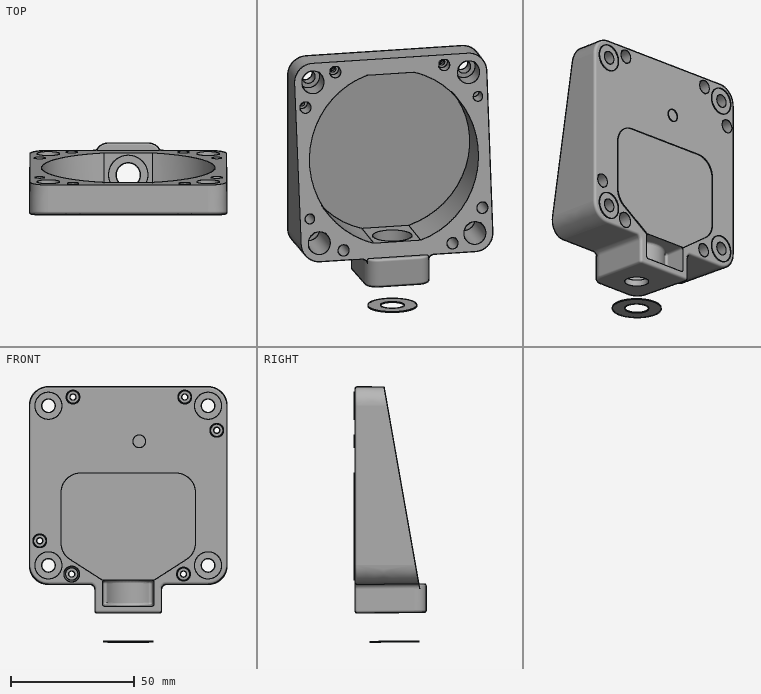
import cadquery as cq
import math


overall_height = 103.9
plate_side = 80.4
plate_half = plate_side / 2
plate_corner_radius = 7.8
plate_top_depth = 11.8
back_slope = 10.0
draft_angle = 0.6
front_edge_fillet = 1.0

tongue_width = 27.2
tongue_half = tongue_width / 2
tongue_top = -39.9
tongue_bottom = -51.9
tongue_depth = 29.0
tongue_back_corner_radius = 5.2
tongue_edge_fillet = 0.9
tongue_root_radius = 2.0

raise_height = 0.3
dot_x = 4.5
dot_z = 18.0
dot_radius = 2.6
pad_half_width = 27.3
pad_top = 5.1
pad_side_bottom = -27.6
pad_corner_radius = 8.0

mount_offset = 32.4
mount_hole_radius = 2.7
mount_ring_radius = 5.5
mount_counterbore_radius = 4.6
mount_floor = 5.2

screw_edge_offset = 36.0
screw_inner_offset = 22.5
staggered_screw_inner_offset = 23.0
screw_hole_radius = 1.2
screw_mouth_radius = 2.8
screw_floor_radius = 2.5
wide_screw_mouth_radius = 3.2
screw_pocket_depth = 6.2
screw_back_radius = 2.3
blind_pocket_radius = 2.0
screw_back_floor = 8.3

recess_radius = 35.2
recess_flat_width = 19.5
recess_floor = 3.1
recess_flat_height = math.sqrt(recess_radius**2 - (recess_flat_width / 2) ** 2)

passage_y = 16.0
passage_radius = 4.9
passage_counterbore_radius = 8.0
hub_radius = 11.4
window_half_width = 10.5
window_top = -38.5
window_bottom = -49.1
window_draft = 4.0
window_depth = 16.6
window_inner_fillet = 0.9

washer_outer_radius = 10.0
washer_inner_radius = 4.9
washer_thickness = 0.4
washer_bottom = plate_half - overall_height


def front_plane(y):
    """Plane at depth y, with sketch axes along X and Z; it extrudes backwards with a negative length."""
    return cq.Workplane("XZ", origin=(0, y, 0))


def cylinder_y(x, z, radius, y_start, y_end):
    return front_plane(y_start).center(x, z).circle(radius).extrude(y_start - y_end)


def cylinder_z(radius, z_start, z_end):
    return cq.Workplane("XY", origin=(0, passage_y, z_start)).circle(radius).extrude(z_end - z_start)


def rectangle(x_half, z_low, z_high, y):
    return front_plane(y).center(0, (z_low + z_high) / 2).rect(2 * x_half, z_high - z_low)


def make_plate():
    """Rounded square plate with drafted sides, cut at the back by the sloping plane."""
    outline = cq.Sketch().rect(plate_side, plate_side).vertices().fillet(plate_corner_radius)
    plate = front_plane(0).placeSketch(outline).extrude(-tongue_depth, taper=draft_angle)
    side_profile = [
        (0, plate_half),
        (plate_top_depth, plate_half),
        (plate_top_depth + plate_side * math.tan(math.radians(back_slope)), -plate_half),
        (0, -plate_half),
    ]
    wedge = cq.Workplane("YZ").polyline(side_profile).close().extrude(plate_half, both=True)
    return plate.intersect(wedge)


def make_tongue():
    """Block below the plate, drafted like the plate and rounded at its back corners and edges."""
    draft = tongue_depth * math.tan(math.radians(draft_angle))
    back_half = tongue_half - draft
    plan = [(-tongue_half, 0), (-back_half, tongue_depth), (back_half, tongue_depth), (tongue_half, 0)]
    block = cq.Workplane("XY", origin=(0, 0, tongue_bottom)).polyline(plan).close()
    block = block.extrude(tongue_top - tongue_bottom).edges("|Z and >Y").fillet(tongue_back_corner_radius)
    side_profile = [
        (0, tongue_bottom),
        (tongue_depth, tongue_bottom + draft),
        (tongue_depth, tongue_top),
        (0, tongue_top),
    ]
    profile = cq.Workplane("YZ").polyline(side_profile).close().extrude(tongue_half, both=True)
    return block.intersect(profile)


def inside(x_half, y_range, z_range):
    """Selector for the edges centred inside a box that is symmetric about X = 0."""
    return cq.selectors.BoxSelector((-x_half, y_range[0], z_range[0]), (x_half, y_range[1], z_range[1]))


def make_shell():
    """Plate and tongue joined, with the outer edges rounded."""
    shell = make_plate().union(make_tongue())
    gap = 0.1
    root_z = (-plate_half - gap, tongue_top - gap)
    roots = inside(tongue_half + gap, (gap, tongue_depth / 2), root_z)
    shell = shell.edges(roots).fillet(tongue_root_radius)
    back_y = (tongue_depth - tongue_back_corner_radius, tongue_depth + gap)
    top_back = inside(tongue_half, back_y, (tongue_top - gap, tongue_top + gap))
    shell = shell.edges(top_back).edges(">Y or %CIRCLE").fillet(tongue_edge_fillet)
    shell = shell.faces("<Z").edges("not <Y").fillet(tongue_edge_fillet)
    return shell.faces("<Y").edges().fillet(front_edge_fillet)


def add_raised_areas(body):
    """Slightly raised dot, rings around the mounting holes and shield-shaped pad on the front face."""
    raised = cylinder_y(dot_x, dot_z, dot_radius, -raise_height, 0)
    for x in (-mount_offset, mount_offset):
        for z in (-mount_offset, mount_offset):
            raised = raised.union(cylinder_y(x, z, mount_ring_radius, -raise_height, 0))
    pad_outline = [
        (-pad_half_width, pad_top),
        (pad_half_width, pad_top),
        (pad_half_width, pad_side_bottom),
        (window_half_width, window_top),
        (-window_half_width, window_top),
        (-pad_half_width, pad_side_bottom),
    ]
    pad = front_plane(-raise_height).polyline(pad_outline).close().extrude(-raise_height)
    pad = pad.edges("|Y").edges("<X or >X").fillet(pad_corner_radius)
    return body.union(raised).union(pad)


def cut_mounting_holes(body):
    for x in (-mount_offset, mount_offset):
        for z in (-mount_offset, mount_offset):
            body = body.cut(cylinder_y(x, z, mount_hole_radius, -raise_height, tongue_depth))
            body = body.cut(cylinder_y(x, z, mount_counterbore_radius, mount_floor, tongue_depth))
    return body


def front_pocket(x, z, mouth_radius):
    """Cutter for a round pocket that tapers from the front face to its floor."""
    mouth = front_plane(0).center(x, z).circle(mouth_radius)
    return mouth.workplane(offset=-screw_pocket_depth).circle(screw_floor_radius).loft()


def cut_screw_holes(body):
    """Eight pockets from the back; six of them are screw holes that go through to a pocket in the front."""
    edge = screw_edge_offset
    inner = screw_inner_offset
    staggered = staggered_screw_inner_offset
    half_of_screws = [(-inner, edge), (staggered, edge), (edge, inner)]
    screws = half_of_screws + [(-x, -z) for x, z in half_of_screws]
    blind_pockets = [(-edge, inner), (edge, -inner)]
    wide_screw = (-staggered, -edge)
    for x, z in screws:
        mouth_radius = wide_screw_mouth_radius if (x, z) == wide_screw else screw_mouth_radius
        body = body.cut(front_pocket(x, z, mouth_radius))
        body = body.cut(cylinder_y(x, z, screw_hole_radius, 0, tongue_depth))
        body = body.cut(cylinder_y(x, z, screw_back_radius, screw_back_floor, tongue_depth))
    for x, z in blind_pockets:
        body = body.cut(cylinder_y(x, z, blind_pocket_radius, screw_back_floor, tongue_depth))
    return body


def cut_back_recess(body):
    """Round recess with a flat at its top and bottom."""
    disc = cylinder_y(0, 0, recess_radius, recess_floor, tongue_depth)
    flats = rectangle(recess_radius, -recess_flat_height, recess_flat_height, recess_floor).extrude(-tongue_depth)
    return body.cut(disc.intersect(flats))


def cut_passage(body):
    """Stepped vertical passage from the recess down through the tongue."""
    passage = cylinder_z(passage_radius, tongue_bottom - 1, 0)
    counterbore = cylinder_z(passage_counterbore_radius, window_bottom, 0)
    return body.cut(passage).cut(counterbore)


def cut_window(body):
    """Drafted window in the tongue that ends at the round wall of the passage."""
    outline = rectangle(window_half_width, window_bottom, window_top, 0)
    window = outline.extrude(-window_depth, taper=window_draft)
    window = window.cut(cylinder_z(hub_radius, tongue_bottom, 0))
    window = window.faces("not <Y").edges("not <Y").fillet(window_inner_fillet)
    return body.cut(window)


def make_housing():
    housing = add_raised_areas(make_shell())
    housing = cut_mounting_holes(housing)
    housing = cut_screw_holes(housing)
    housing = cut_back_recess(housing)
    housing = cut_passage(housing)
    return cut_window(housing)


def make_washer():
    """Flat ring around the passage axis, tilted like the drafted underside of the tongue."""
    rise = washer_outer_radius * math.sin(math.radians(draft_angle))
    ring = cq.Workplane("XY").circle(washer_outer_radius).circle(washer_inner_radius).extrude(washer_thickness)
    ring = ring.rotate((0, 0, 0), (1, 0, 0), draft_angle)
    return ring.translate((0, passage_y, washer_bottom + rise))


housing = make_housing()
washer = make_washer()
result = cq.Compound.makeCompound([housing.val(), washer.val()])